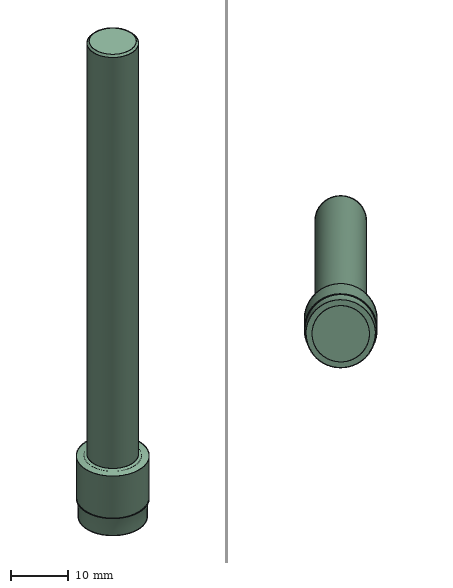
import cadquery as cq

TOTAL_LENGTH = 100.0

ROD_RADIUS = 9.0 / 2
ROD_TOP_CHAMFER = 0.4
SEAT_RADIUS = 10.0 / 2
SEAT_HEIGHT = 12.8

COLLAR_RADIUS = 12.7 / 2
COLLAR_WALL_TOP = 12.75
COLLAR_CROWN_TOP = 13.1

FOOT_HEIGHT = 3.8
FOOT_TOP_RADIUS = 12.4 / 2
FOOT_MIDDLE_RADIUS = 12.1 / 2
FOOT_BOTTOM_RADIUS = 12.1 / 2


def make_rod():
    """Round rod with a chamfered top edge and a thicker seat at its lower end."""
    shaft = cq.Workplane("XY").circle(ROD_RADIUS).extrude(TOTAL_LENGTH)
    shaft = shaft.faces(">Z").chamfer(ROD_TOP_CHAMFER)
    seat = cq.Workplane("XY").circle(SEAT_RADIUS).extrude(SEAT_HEIGHT)
    return shaft.union(seat)


def make_collar():
    """Sleeve closed over the rod seat: curved foot, straight wall and conical crown."""
    foot_middle = (FOOT_MIDDLE_RADIUS, FOOT_HEIGHT / 2)
    foot_top = (FOOT_TOP_RADIUS, FOOT_HEIGHT)
    return (
        cq.Workplane("XZ")
        .moveTo(SEAT_RADIUS, 0)
        .lineTo(FOOT_BOTTOM_RADIUS, 0)
        .threePointArc(foot_middle, foot_top)
        .lineTo(COLLAR_RADIUS, FOOT_HEIGHT)
        .lineTo(COLLAR_RADIUS, COLLAR_WALL_TOP)
        .lineTo(ROD_RADIUS, COLLAR_CROWN_TOP)
        .lineTo(ROD_RADIUS, SEAT_HEIGHT)
        .lineTo(SEAT_RADIUS, SEAT_HEIGHT)
        .close()
        .revolve(360, (0, 0, 0), (0, 1, 0))
    )


rod = make_rod()
collar = make_collar()

result = cq.Compound.makeCompound([rod.val(), collar.val()])